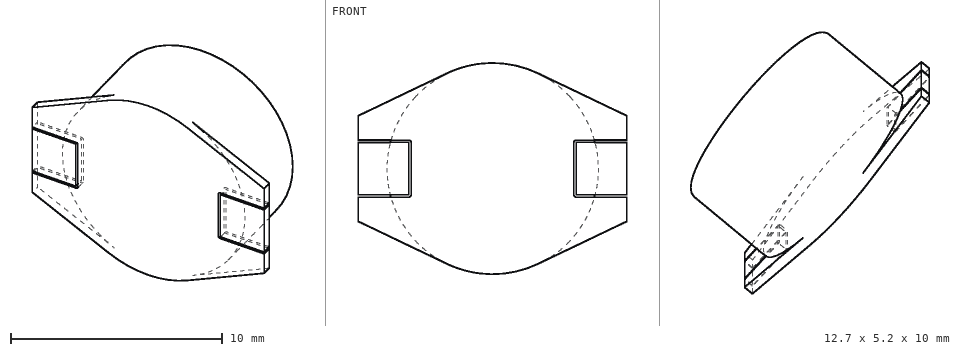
import cadquery as cq
import math

length = 12.7
height = 5.2
body_diameter = 10.0
body_radius = body_diameter / 2

plate_thickness = 0.5
end_half_width = 2.5

pad_length = 2.4
pad_width = 2.49
pad_gap = 0.1

rim_radius = 0.24

half_length = length / 2
front_y = -height / 2
plate_back_y = front_y + plate_thickness

corner_distance = math.hypot(half_length, end_half_width)
corner_angle = math.atan2(end_half_width, half_length)
tangent_angle = corner_angle + math.acos(body_radius / corner_distance)
tangent_x = body_radius * math.cos(tangent_angle)
tangent_z = body_radius * math.sin(tangent_angle)


def plane_at(y):
    """Sketch plane facing +Y, with local x along X and local y along -Z."""
    return cq.Workplane(cq.Plane(origin=(0, y, 0), xDir=(1, 0, 0), normal=(0, 1, 0)))


def make_body():
    body = plane_at(front_y).circle(body_radius).extrude(height)
    return body.faces(">Y").edges().fillet(rim_radius)


def make_plate():
    return (
        plane_at(front_y)
        .moveTo(half_length, -end_half_width)
        .lineTo(half_length, end_half_width)
        .lineTo(tangent_x, tangent_z)
        .threePointArc((0, body_radius), (-tangent_x, tangent_z))
        .lineTo(-half_length, end_half_width)
        .lineTo(-half_length, -end_half_width)
        .lineTo(-tangent_x, -tangent_z)
        .threePointArc((0, -body_radius), (tangent_x, -tangent_z))
        .close()
        .extrude(plate_thickness)
    )


def end_block(side, block_length, block_width):
    """Plate-thick block reaching inward from the plate end on the given side."""
    center_x = side * (half_length - block_length / 2)
    center_y = (front_y + plate_back_y) / 2
    return (
        cq.Workplane("XY")
        .box(block_length, plate_thickness, block_width)
        .translate((center_x, center_y, 0))
    )


def make_slot(side):
    slot = end_block(side, pad_length + pad_gap, pad_width + 2 * pad_gap)
    inner_face = "<X" if side > 0 else ">X"
    return slot.faces(inner_face).edges("|Y").fillet(pad_gap)


result = make_body().union(make_plate())
for side in (-1, 1):
    result = result.cut(make_slot(side))
    result = result.union(end_block(side, pad_length, pad_width))